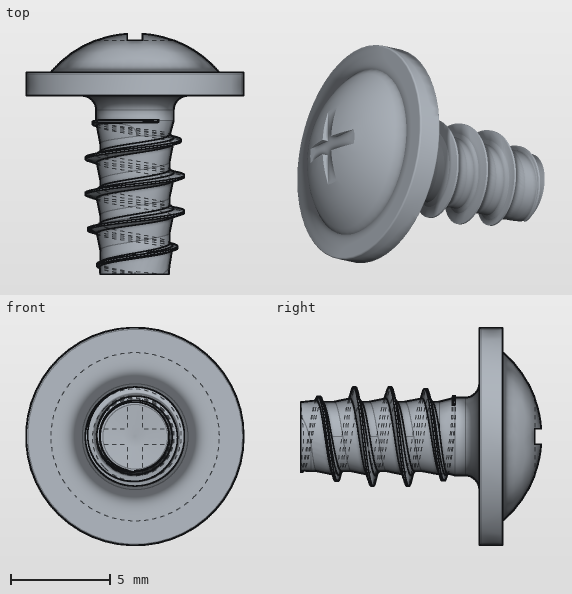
import cadquery as cq
import math


flange_radius = 5.5
flange_thickness = 1.2
flange_edge_round = 0.08
head_height = 3.14
dome_base_radius = 4.25
slot_width = 0.76
slot_depth = 0.33

shank_length = 9.0
neck_radius = 1.97
neck_fillet = 0.7
neck_end = -1.22
root_radius = 1.76
root_start = -2.02
tip_radius = 1.72
tip_taper_length = 0.5
tip_recess_radius = 1.63
tip_recess_depth = 0.15

pitch = 1.8
crest_start = -0.89
runout_height = -1.26
runout_softness = 0.1
first_turn = -0.1
full_turn = 1.25
fade_turn = 3.0
last_turn = 4.5
crest_radius = 2.5
crest_radius_first = 2.03
crest_radius_last = 1.8
crest_land = 0.1
break_height = 0.21
break_fraction = 0.4
foot_slope = 0.76
head_slope = 0.22
tip_slope = 0.31
collar_radius = 1.93
collar_radius_last = 1.73
collar_fade_turn = 3.5
collar_reach = 1.08
buried_radius = 1.7
points_per_turn = 24


def ramp(t, t_from, t_to, value_from, value_to):
    """Linear change between two turns, constant outside them."""
    share = min(max((t - t_from) / (t_to - t_from), 0.0), 1.0)
    return value_from + share * (value_to - value_from)


def thread_section(t):
    """(radius, y) corners of the thread in the half plane at turn t, head side first."""
    helix_y = crest_start - pitch * t
    drop = runout_height - helix_y
    crest_y = runout_height - (drop + math.hypot(drop, runout_softness)) / 2

    crest = ramp(t, first_turn, full_turn, crest_radius_first, crest_radius)
    if t > fade_turn:
        crest = ramp(t, fade_turn, last_turn, crest_radius, crest_radius_last)
    collar = ramp(t, collar_fade_turn, last_turn, collar_radius, collar_radius_last)

    flank_break = root_radius + min(break_height, break_fraction * (crest - root_radius))
    break_y = crest_y + crest_land / 2 + head_slope * (crest - flank_break)
    foot_y = break_y + foot_slope * (flank_break - buried_radius)
    collar_y = crest_y - crest_land / 2 - tip_slope * (crest - collar)

    full_collar_offset = crest_land / 2 + tip_slope * (crest_radius - collar_radius)
    collar_run = (collar_reach - full_collar_offset) / (collar_radius - root_radius)
    tail_y = helix_y - collar_reach - collar_run * (root_radius - buried_radius)
    return [
        (buried_radius, foot_y),
        (flank_break, break_y),
        (crest, crest_y + crest_land / 2),
        (crest, crest_y - crest_land / 2),
        (collar, collar_y),
        (buried_radius, tail_y),
    ]


def section_points(t):
    angle = 2 * math.pi * t
    return [
        cq.Vector(-radius * math.sin(angle), y, radius * math.cos(angle))
        for radius, y in thread_section(t)
    ]


def make_thread():
    """Ruled faces between the helical corner lines, closed by a flat face at each end."""
    steps = round((last_turn - first_turn) * points_per_turn)
    turns = [first_turn + (last_turn - first_turn) * i / steps for i in range(steps + 1)]
    sections = [section_points(t) for t in turns]
    corner_lines = [cq.Edge.makeSpline(list(line)) for line in zip(*sections)]
    faces = []
    for i, line in enumerate(corner_lines):
        faces.append(cq.Face.makeRuledSurface(corner_lines[i - 1], line))
    for end in (sections[0], sections[-1]):
        faces.append(cq.Face.makeFromWires(cq.Wire.makePolygon(end, close=True)))
    body = cq.Solid.makeSolid(cq.Shell.makeShell(faces))
    body = cq.Workplane(body.fix())
    keep_size = 4 * crest_radius
    keep = cq.Workplane("XY").box(keep_size, shank_length, keep_size)
    return body.intersect(keep.translate((0, -shank_length / 2, 0)))


def make_body():
    """Flange, dome, neck and core as one profile turned about the Y axis."""
    corner_radius = slot_width / math.sqrt(2)
    rim_rise = head_height - flange_thickness
    centre_rise = (rim_rise**2 + corner_radius**2 - dome_base_radius**2) / (2 * rim_rise)
    sphere_radius = math.hypot(dome_base_radius, centre_rise)
    centre_y = flange_thickness + centre_rise
    mid_radius = dome_base_radius / 2
    mid_y = centre_y + math.sqrt(sphere_radius**2 - mid_radius**2)
    diagonal = neck_fillet * (1 - math.sqrt(0.5))

    return (
        cq.Workplane("XY")
        .moveTo(0, centre_y + sphere_radius)
        .threePointArc((mid_radius, mid_y), (dome_base_radius, flange_thickness))
        .lineTo(flange_radius - flange_edge_round, flange_thickness)
        .radiusArc((flange_radius, flange_thickness - flange_edge_round), flange_edge_round)
        .lineTo(flange_radius, flange_edge_round)
        .radiusArc((flange_radius - flange_edge_round, 0), flange_edge_round)
        .lineTo(neck_radius + neck_fillet, 0)
        .threePointArc((neck_radius + diagonal, -diagonal), (neck_radius, -neck_fillet))
        .lineTo(neck_radius, neck_end)
        .lineTo(root_radius, root_start)
        .lineTo(root_radius, tip_taper_length - shank_length)
        .lineTo(tip_radius, -shank_length)
        .lineTo(0, -shank_length)
        .close()
        .revolve(360, (0, 0, 0), (0, 1, 0))
    )


def make_tip_recess():
    """Shallow cone sunk into the tip face."""
    return (
        cq.Workplane("XY")
        .moveTo(0, -shank_length)
        .lineTo(tip_recess_radius, -shank_length)
        .lineTo(0, tip_recess_depth - shank_length)
        .close()
        .revolve(360, (0, 0, 0), (0, 1, 0))
    )


def make_cross_slot():
    """Two crossing flat-bottomed slots over the top of the dome."""
    slot_length = 2 * dome_base_radius
    cut_height = 2 * slot_depth
    cross = cq.Workplane("XY").box(slot_length, cut_height, slot_width)
    cross = cross.union(cq.Workplane("XY").box(slot_width, cut_height, slot_length))
    return cross.translate((0, head_height, 0))


result = make_body().union(make_thread()).cut(make_tip_recess()).cut(make_cross_slot())